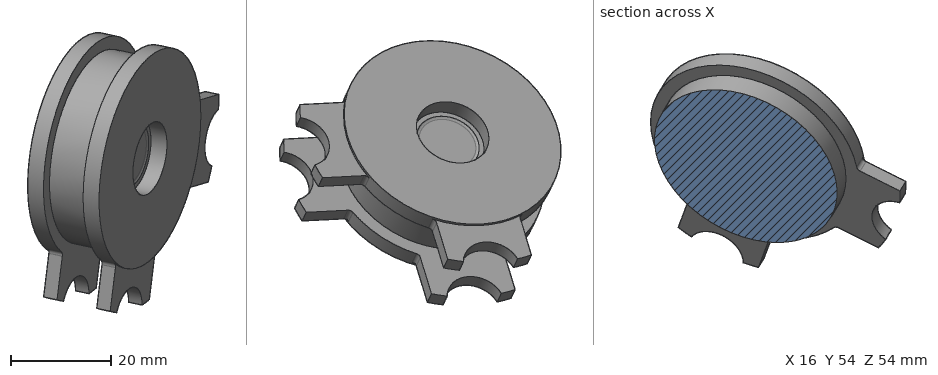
import cadquery as cq
import math

wheel_width = 16.0
flange_diameter = 45.0
flange_width = 3.55
hub_diameter = 39.65

recess_diameter = 15.0
recess_depth = 3.55
pocket_diameter = 13.0
pocket_floor_diameter = 11.75
pocket_depth = 0.2

tooth_tip_diameter = 63.0
tooth_width = 18.0
tooth_thickness = 3.0
tooth_root_fillet = 1.0
notch_radius = 6.0
notch_center_radius = 32.5
tooth_angles = (-15, -105)

flange_radius = flange_diameter / 2
tooth_tip_radius = tooth_tip_diameter / 2
half_width = wheel_width / 2
groove_half_width = half_width - flange_width


def make_wheel():
    """Revolve the section of the flanged wheel about the X axis."""
    hub_radius = hub_diameter / 2
    section = (
        cq.Workplane("XY")
        .polyline([
            (-half_width, 0),
            (-half_width, flange_radius),
            (-groove_half_width, flange_radius),
            (-groove_half_width, hub_radius),
            (groove_half_width, hub_radius),
            (groove_half_width, flange_radius),
            (half_width, flange_radius),
            (half_width, 0),
        ])
        .close()
    )
    return section.revolve(360, (0, 0, 0), (1, 0, 0))


def make_recess():
    """Recess of the +X face with a shallow pocket whose floor edge is rounded."""
    recess_radius = recess_diameter / 2
    pocket_radius = pocket_diameter / 2
    round_width = (pocket_diameter - pocket_floor_diameter) / 2
    floor_round = (round_width ** 2 + pocket_depth ** 2) / (2 * pocket_depth)
    recess_floor = half_width - recess_depth
    pocket_floor = recess_floor - pocket_depth
    section = (
        cq.Workplane("XY")
        .moveTo(pocket_floor, 0)
        .lineTo(pocket_floor, pocket_floor_diameter / 2)
        .radiusArc((recess_floor, pocket_radius), floor_round)
        .lineTo(recess_floor, recess_radius)
        .lineTo(half_width, recess_radius)
        .lineTo(half_width, 0)
        .close()
    )
    return section.revolve(360, (0, 0, 0), (1, 0, 0))


def make_tooth(start_x, angle):
    """Disc with one notched tooth and filleted roots, turned to its angle."""
    plane = cq.Workplane("YZ", origin=(start_x, 0, 0))
    half_tooth = tooth_width / 2
    corner_y = math.sqrt(tooth_tip_radius ** 2 - half_tooth ** 2)
    blank = (
        plane.moveTo(0, -half_tooth)
        .lineTo(corner_y, -half_tooth)
        .threePointArc((tooth_tip_radius, 0), (corner_y, half_tooth))
        .lineTo(0, half_tooth)
        .close()
        .extrude(tooth_thickness)
    )
    disc = plane.circle(flange_radius).extrude(tooth_thickness)
    filleted = disc.union(blank).edges("|X").edges("<Y").fillet(tooth_root_fillet)
    notch = plane.center(notch_center_radius, 0).circle(notch_radius).extrude(tooth_thickness)
    return filleted.cut(notch).rotate((0, 0, 0), (1, 0, 0), angle)


result = make_wheel()
for tooth_angle in tooth_angles:
    for tooth_start in (groove_half_width, -groove_half_width - tooth_thickness):
        result = result.union(make_tooth(tooth_start, tooth_angle))

recess = make_recess()
result = result.cut(recess).cut(recess.mirror("YZ"))